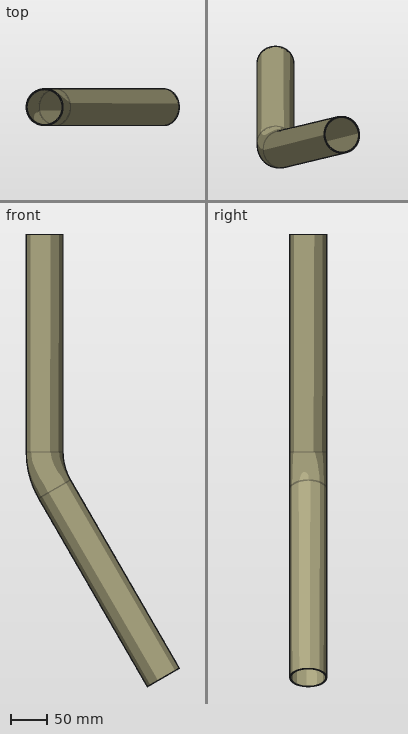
import cadquery as cq
import math

outer_diameter = 51.0
inner_diameter = 48.0
leg_length = 300.0
bend_radius = 2 * outer_diameter
bend_angle = 30.0


def bend_point(angle_degrees):
    """Centreline point (x, z) at an angle along the bend, which starts at the origin."""
    angle = math.radians(angle_degrees)
    return bend_radius * (1 - math.cos(angle)), -bend_radius * math.sin(angle)


bend_middle = bend_point(bend_angle / 2)
bend_end = bend_point(bend_angle)
slope = math.radians(bend_angle)
lower_end = (
    bend_end[0] + leg_length * math.sin(slope),
    bend_end[1] - leg_length * math.cos(slope),
)
centreline = (
    cq.Workplane("XZ")
    .moveTo(0, leg_length)
    .lineTo(0, 0)
    .threePointArc(bend_middle, bend_end)
    .lineTo(*lower_end)
)

result = (
    cq.Workplane("XY", origin=(0, 0, leg_length))
    .circle(outer_diameter / 2)
    .circle(inner_diameter / 2)
    .sweep(centreline)
)